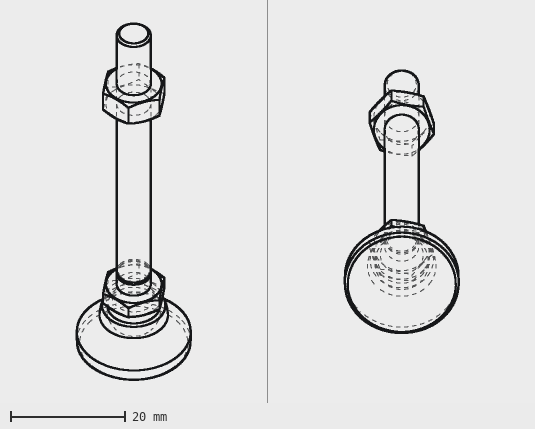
import cadquery as cq
import math

foot_radius = 10.0
foot_bevel = 0.5
rim_top_z = 2.75
dome_radius = 6.0
dome_center_z = 6.7
socket_top_z = 9.0

ball_radius = 4.7
ball_center_z = 8.1

spindle_top_z = 74.0
rod_radius = 3.0
rod_bevel = 0.45
groove_top_z = 17.25
groove_depth = 0.3
groove_height = 0.5

across_flats = 10.0
hex_face_diameter = 9.8
hex_bevel_angle = 30.0
spindle_hex_bottom_z = 10.95
spindle_hex_height = 3.2
nut_top_z = 62.0
nut_height = 4.8


def make_hexagon(bottom_z, height):
    """Hexagonal prism whose corners are turned down conically at both ends."""
    corner_radius = across_flats / math.sqrt(3)
    face_radius = hex_face_diameter / 2
    bevel_height = (corner_radius - face_radius) * math.tan(math.radians(hex_bevel_angle))
    prism = (
        cq.Workplane("XY")
        .polygon(6, 2 * corner_radius)
        .extrude(height)
        .rotate((0, 0, 0), (0, 0, 1), 90)
    )
    turned_blank = (
        cq.Workplane("XZ")
        .moveTo(0, 0)
        .lineTo(face_radius, 0)
        .lineTo(corner_radius, bevel_height)
        .lineTo(corner_radius, height - bevel_height)
        .lineTo(face_radius, height)
        .lineTo(0, height)
        .close()
        .revolve()
    )
    return prism.intersect(turned_blank).translate((0, 0, bottom_z))


def make_ball():
    return cq.Workplane("XY").sphere(ball_radius).translate((0, 0, ball_center_z))


def make_foot():
    """Revolved pad with a spherical dome, hollowed to hold the ball."""
    socket_rise = socket_top_z - dome_center_z
    socket_top_radius = math.sqrt(dome_radius**2 - socket_rise**2)
    half_rise = socket_rise / 2
    dome_middle_radius = math.sqrt(dome_radius**2 - half_rise**2)
    body = (
        cq.Workplane("XZ")
        .moveTo(0, 0)
        .lineTo(foot_radius - foot_bevel, 0)
        .lineTo(foot_radius, foot_bevel)
        .lineTo(foot_radius, rim_top_z)
        .lineTo(dome_radius, dome_center_z)
        .threePointArc(
            (dome_middle_radius, dome_center_z + half_rise),
            (socket_top_radius, socket_top_z),
        )
        .lineTo(0, socket_top_z)
        .close()
        .revolve()
    )
    return body.cut(make_ball())


def make_rod():
    """Round rod rising from the ball, with a relief groove and a bevelled tip."""
    groove_radius = rod_radius - groove_depth
    return (
        cq.Workplane("XZ")
        .moveTo(0, ball_center_z)
        .lineTo(rod_radius, ball_center_z)
        .lineTo(rod_radius, groove_top_z - groove_height)
        .lineTo(groove_radius, groove_top_z)
        .lineTo(rod_radius, groove_top_z)
        .lineTo(rod_radius, spindle_top_z - rod_bevel)
        .lineTo(rod_radius - rod_bevel, spindle_top_z)
        .lineTo(0, spindle_top_z)
        .close()
        .revolve()
    )


def make_spindle():
    hexagon = make_hexagon(spindle_hex_bottom_z, spindle_hex_height)
    return make_ball().union(hexagon).union(make_rod())


def make_nut():
    bottom_z = nut_top_z - nut_height
    bore = cq.Workplane("XY").circle(rod_radius).extrude(nut_height).translate((0, 0, bottom_z))
    return make_hexagon(bottom_z, nut_height).cut(bore)


foot = make_foot()
spindle = make_spindle()
nut = make_nut()

result = cq.Compound.makeCompound([foot.val(), spindle.val(), nut.val()])